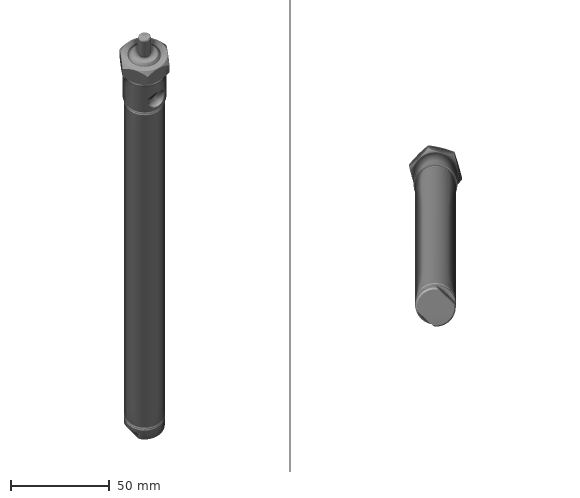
import cadquery as cq
import math

overall_length = 291.34
full_turn = 360

rod_diameter = 6.35
rod_projection = 12.5
rod_tip_chamfer = 0.5
rod_bottom = 10.0

nose_diameter = 16.5
nose_chamfer = 1.5
nose_proud = 0.8
nose_top = overall_length - rod_projection

nut_width = 23.88
nut_height = 9.8
nut_countersink = 0.4
nut_face_diameter = 0.98 * nut_width
nut_chamfer_angle = math.radians(45)
hexagon_sides = 6
hexagon_diameter = nut_width / math.cos(math.pi / hexagon_sides)
nut_top = nose_top - nose_proud
nut_bottom = nut_top - nut_height

collar_diameter = 22.2
collar_length = 19.5
nut_gap = 1.7
tube_diameter = 20.6
rear_chamfer = 0.8
collar_top = nut_bottom - nut_gap
collar_bottom = collar_top - collar_length

groove_width = 0.95
groove_depth = groove_width / 2
groove_pitch = 1.27
front_groove_offset = 2.4
front_groove_z = collar_bottom - front_groove_offset
rear_groove_z = 8.6

flat_spacing = 15.6
flat_height = 5.0

port_diameter = 10.7
port_depth = 6.0
port_offset = 7.0
port_z = collar_bottom + port_offset


def cylinder_between(diameter, bottom, top):
    return cq.Workplane("XY").workplane(offset=bottom).circle(diameter / 2).extrude(top - bottom)


def turned(points):
    """Solid of revolution about Z from (radius, z) corner points."""
    return cq.Workplane("XZ").polyline(points).close().revolve(full_turn, (0, 0, 0), (0, 1, 0))


def make_rod():
    rod = cylinder_between(rod_diameter, rod_bottom, overall_length)
    return rod.faces(">Z").chamfer(rod_tip_chamfer)


def chamfered_nut_envelope():
    """Turned blank whose conical ends round off the corners of the hexagon."""
    corner_radius = hexagon_diameter / 2
    face_radius = nut_face_diameter / 2
    corner_drop = (corner_radius - face_radius) * math.tan(nut_chamfer_angle)
    return turned([
        (0, nut_bottom),
        (face_radius, nut_bottom),
        (corner_radius, nut_bottom + corner_drop),
        (corner_radius, nut_top - corner_drop),
        (face_radius, nut_top),
        (0, nut_top),
    ])


def nut_hole():
    """Clear hole with a countersink at each mouth."""
    hole_radius = nose_diameter / 2
    mouth_radius = hole_radius + nut_countersink
    return turned([
        (0, nut_bottom),
        (mouth_radius, nut_bottom),
        (hole_radius, nut_bottom + nut_countersink),
        (hole_radius, nut_top - nut_countersink),
        (mouth_radius, nut_top),
        (0, nut_top),
    ])


def make_nut():
    quarter_turn = 90
    hexagon = (
        cq.Workplane("XY")
        .workplane(offset=nut_bottom)
        .polygon(hexagon_sides, hexagon_diameter)
        .extrude(nut_height)
        .rotate((0, 0, 0), (0, 0, 1), quarter_turn)
    )
    return hexagon.intersect(chamfered_nut_envelope()).cut(nut_hole())


def v_groove(center_z):
    """Diamond-section ring whose inner half cuts the V into the tube."""
    tube_radius = tube_diameter / 2
    return turned([
        (tube_radius - groove_depth, center_z),
        (tube_radius, center_z + groove_width / 2),
        (tube_radius + groove_depth, center_z),
        (tube_radius, center_z - groove_width / 2),
    ])


def wrench_flat(side):
    """Block that cuts one flat; side is -1 or +1 along Y."""
    block_width = tube_diameter
    block = cq.Workplane("XY").box(block_width, block_width, flat_height, centered=(True, True, False))
    return block.translate((0, side * (flat_spacing + block_width) / 2, 0))


def air_port():
    return (
        cq.Workplane("YZ")
        .workplane(offset=collar_diameter / 2 - port_depth)
        .center(0, port_z)
        .circle(port_diameter / 2)
        .extrude(port_depth)
    )


def make_body():
    tube = cylinder_between(tube_diameter, 0, collar_bottom).faces("<Z").chamfer(rear_chamfer)
    collar = cylinder_between(collar_diameter, collar_bottom, collar_top)
    nose = cylinder_between(nose_diameter, collar_top, nose_top).faces(">Z").chamfer(nose_chamfer)
    body = tube.union(collar).union(nose)

    for side in (-1, 1):
        for pair_z in (front_groove_z, rear_groove_z):
            body = body.cut(v_groove(pair_z + side * groove_pitch / 2))
        body = body.cut(wrench_flat(side))

    rod_bore = cylinder_between(rod_diameter, rod_bottom, nose_top)
    return body.cut(air_port()).cut(rod_bore)


rod = make_rod()
nut = make_nut()
body = make_body()

result = cq.Compound.makeCompound([body.val(), nut.val(), rod.val()])